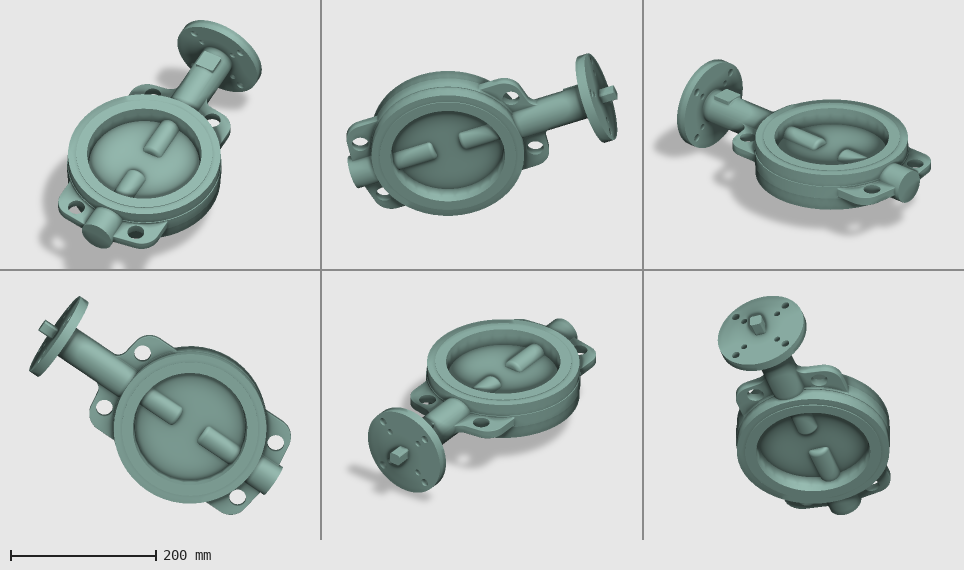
import cadquery as cq
import math


RING_RADIUS = 105.0
RING_HEIGHT = 55.0
BAND_RADIUS = 106.5
BAND_HEIGHT = 18.5

NECK_RADIUS = 23.2
HUB_END_Y = -139.2

FLANGE_DIAMETER = 125.0
FLANGE_TOP_Y = 226.2
FLANGE_THICKNESS = 13.5
FLANGE_FILLET = 1.0
OUTER_HOLE_OFFSET = 36.0
OUTER_HOLE_DIAMETER = 11.2
INNER_HOLE_OFFSET = 24.0
INNER_HOLE_DIAMETER = 9.0

EAR_HALF_WIDTH = 76.0
EAR_THICKNESS = 12.5
EAR_Y_AT_NECK = 132.5
EAR_SLOPE = math.radians(8.5)
EAR_CORNER_RADIUS = 25.5
EAR_NECK_RADIUS = 15.5
EAR_HOLE_X = 46.5
EAR_HOLE_Y = 111.5
EAR_HOLE_DIAMETER = 23.2
EAR_RIM_FILLET = 0.8
EAR_STUB_INSET = 1.5
ROOT_FILLET = 1.0

PAD_SIZE = 26.3
PAD_CENTER_Y = 187.5
PAD_TOP_Z = 25.0
PAD_CORNER_RADIUS = 1.5
PAD_FOOT_FILLET = 1.0

LINER_RADIUS = 94.0
LINER_HEIGHT = 57.2
BORE_MOUTH_RADIUS = 79.0

DISC_RADIUS = 76.0
DISC_THICKNESS = 9.3
BOSS_RADIUS = 15.5
BOSS_INNER_Y = 19.5
BOSS_END_FILLET = 5.5

STEM_TOP_Y = 247.5
STEM_BOTTOM_Y = 31.0
STEM_RADIUS = 10.0
STEM_SQUARE = 16.2

SELECTION_MARGIN = 0.5


def disk(radius, height):
    """Cylinder along Z, centred on the origin."""
    return cq.Workplane("XY", origin=(0, 0, -height / 2)).circle(radius).extrude(height)


def rod(radius, start_y, end_y):
    """Cylinder along Y between two Y positions."""
    return cq.Workplane("XZ", origin=(0, start_y, 0)).circle(radius).extrude(start_y - end_y)


def ear_plate(thickness, rounded_neck):
    """Plate of the upper pair of ears, its inner part buried in the ring and the neck."""
    side_y = EAR_Y_AT_NECK - (EAR_HALF_WIDTH - NECK_RADIUS) * math.tan(EAR_SLOPE)
    stub_x = NECK_RADIUS - EAR_STUB_INSET
    stub_foot_y = EAR_Y_AT_NECK + EAR_STUB_INSET * math.tan(EAR_SLOPE)
    stub_end_y = EAR_Y_AT_NECK + 2 * EAR_NECK_RADIUS
    outline = [
        (-EAR_HALF_WIDTH, 0),
        (EAR_HALF_WIDTH, 0),
        (EAR_HALF_WIDTH, side_y),
        (stub_x, stub_foot_y),
        (-stub_x, stub_foot_y),
        (-EAR_HALF_WIDTH, side_y),
    ]
    if rounded_neck:
        outline[4:4] = [(stub_x, stub_end_y), (-stub_x, stub_end_y)]
    base = cq.Workplane("XY", origin=(0, 0, -thickness / 2))
    plate = base.polyline(outline).close().extrude(thickness)
    for sx in (-1, 1):
        plate = plate.edges(upright_edge(sx * EAR_HALF_WIDTH, side_y)).fillet(EAR_CORNER_RADIUS)
        if rounded_neck:
            plate = plate.edges(upright_edge(sx * stub_x, stub_foot_y)).fillet(EAR_NECK_RADIUS)
    return plate


def upright_edge(x, y):
    """Selects the edge along Z through the given point of a plate centred on Z = 0."""
    return cq.selectors.NearestToPointSelector((x, y, 0))


def root_fillets():
    """Concave fillets above the ear plate, along the ring band and both sides of the neck."""
    base_z = EAR_THICKNESS / 2
    center_z = base_z + ROOT_FILLET
    diagonal = ROOT_FILLET * math.sqrt(0.5)
    band_center_x = BAND_RADIUS + ROOT_FILLET
    along_band = (
        cq.Workplane("XZ")
        .moveTo(LINER_RADIUS, base_z)
        .lineTo(band_center_x, base_z)
        .threePointArc((band_center_x - diagonal, center_z - diagonal), (BAND_RADIUS, center_z))
        .lineTo(LINER_RADIUS, center_z)
        .close()
        .revolve(360, (0, 0), (0, 1))
    )

    center_distance = NECK_RADIUS + ROOT_FILLET
    neck_center_x = math.sqrt(center_distance**2 - center_z**2)
    toward_neck = math.atan2(center_z, neck_center_x)
    mid_angle = (1.5 * math.pi + math.pi + toward_neck) / 2
    on_neck = (NECK_RADIUS * math.cos(toward_neck), NECK_RADIUS * math.sin(toward_neck))
    mid = (
        neck_center_x + ROOT_FILLET * math.cos(mid_angle),
        center_z + ROOT_FILLET * math.sin(mid_angle),
    )
    along_neck = (
        cq.Workplane("XZ")
        .moveTo(0, base_z)
        .lineTo(neck_center_x, base_z)
        .threePointArc(mid, on_neck)
        .lineTo(0, on_neck[1])
        .close()
        .extrude(2 * EAR_Y_AT_NECK, both=True)
    )
    return along_band.union(along_neck).union(along_neck.mirror("YZ"))


def ears(rounded_neck):
    """Upper pair of ears with rounded rims, blended into the ring and the neck."""
    plate = ear_plate(EAR_THICKNESS, rounded_neck).faces("<Z or >Z").edges().fillet(EAR_RIM_FILLET)
    upper_roots = root_fillets().intersect(ear_plate(2 * EAR_THICKNESS, rounded_neck))
    return plate.union(upper_roots).union(upper_roots.mirror("XY"))


def name_pad():
    """Square pad on the neck with rounded corners and a flared foot."""
    reach = PAD_SIZE / 2 + SELECTION_MARGIN
    neck = rod(NECK_RADIUS, PAD_CENTER_Y - PAD_SIZE, PAD_CENTER_Y + PAD_SIZE)
    pad = (
        cq.Workplane("XY")
        .center(0, PAD_CENTER_Y)
        .rect(PAD_SIZE, PAD_SIZE)
        .extrude(PAD_TOP_Z)
        .edges("|Z")
        .fillet(PAD_CORNER_RADIUS)
        .union(neck)
    )
    foot = cq.selectors.BoxSelector(
        (-reach, PAD_CENTER_Y - reach, 0),
        (reach, PAD_CENTER_Y + reach, NECK_RADIUS + SELECTION_MARGIN),
        boundingbox=True,
    )
    return pad.edges(foot).fillet(PAD_FOOT_FILLET)


def flange():
    """Actuator flange with two bolt patterns, blended into a short length of neck."""
    bottom_y = FLANGE_TOP_Y - FLANGE_THICKNESS
    plate = rod(FLANGE_DIAMETER / 2, bottom_y, FLANGE_TOP_Y)
    neck_end = rod(NECK_RADIUS, bottom_y - NECK_RADIUS / 2, bottom_y)
    foot = cq.selectors.RadiusNthSelector(0)
    plate = plate.union(neck_end).faces(">Y[-2]").edges(foot).fillet(FLANGE_FILLET)
    for offset, diameter in (
        (OUTER_HOLE_OFFSET, OUTER_HOLE_DIAMETER),
        (INNER_HOLE_OFFSET, INNER_HOLE_DIAMETER),
    ):
        for sx in (-1, 1):
            for sz in (-1, 1):
                hole = rod(diameter / 2, bottom_y, FLANGE_TOP_Y)
                plate = plate.cut(hole.translate((sx * offset, 0, sz * offset)))
    return plate


def bore():
    """Flow passage: narrowest along the disc edge and widening towards both mouths."""
    half_land = DISC_THICKNESS / 2
    half_height = LINER_HEIGHT / 2
    return (
        cq.Workplane("XZ")
        .polyline([
            (0, -half_height),
            (BORE_MOUTH_RADIUS, -half_height),
            (DISC_RADIUS, -half_land),
            (DISC_RADIUS, half_land),
            (BORE_MOUTH_RADIUS, half_height),
            (0, half_height),
        ])
        .close()
        .revolve(360, (0, 0), (0, 1))
    )


def make_stem():
    """Round stem with a squared drive end above the flange."""
    round_part = rod(STEM_RADIUS, STEM_BOTTOM_Y, STEM_TOP_Y)
    square_part = (
        cq.Workplane("XZ", origin=(0, FLANGE_TOP_Y, 0))
        .rect(STEM_SQUARE, STEM_SQUARE)
        .extrude(FLANGE_TOP_Y - STEM_TOP_Y)
    )
    square_end = square_part.intersect(round_part)
    return rod(STEM_RADIUS, STEM_BOTTOM_Y, FLANGE_TOP_Y).union(square_end)


def make_housing(stem):
    """Ring with its neck, flange, ears and pad, bored for the liner and the stem."""
    ring = disk(RING_RADIUS, RING_HEIGHT).union(disk(BAND_RADIUS, BAND_HEIGHT))
    neck = rod(NECK_RADIUS, HUB_END_Y, FLANGE_TOP_Y - FLANGE_THICKNESS)
    body = ring.union(neck).union(ears(rounded_neck=True))
    body = body.union(ears(rounded_neck=False).mirror("XZ"))
    body = body.union(name_pad()).union(flange())
    for sx in (-1, 1):
        for sy in (-1, 1):
            hole = disk(EAR_HOLE_DIAMETER / 2, EAR_THICKNESS)
            body = body.cut(hole.translate((sx * EAR_HOLE_X, sy * EAR_HOLE_Y, 0)))
    return body.cut(disk(LINER_RADIUS, LINER_HEIGHT)).cut(stem)


def make_liner(stem):
    """Sleeve lining the housing, standing slightly proud of both ring faces."""
    return disk(LINER_RADIUS, LINER_HEIGHT).cut(bore()).cut(stem)


def make_disc(stem):
    """Closed disc with two shaft bosses, the upper one holding the stem."""
    disc = disk(DISC_RADIUS, DISC_THICKNESS)
    for side in (-1, 1):
        boss = rod(BOSS_RADIUS, side * BOSS_INNER_Y, side * LINER_RADIUS)
        inner_end = "<Y" if side > 0 else ">Y"
        boss = boss.faces(inner_end).edges().fillet(BOSS_END_FILLET)
        disc = disc.union(boss.intersect(bore()))
    return disc.cut(stem)


stem = make_stem()
housing = make_housing(stem)
liner = make_liner(stem)
disc = make_disc(stem)

result = cq.Compound.makeCompound([housing.val(), liner.val(), disc.val(), stem.val()])